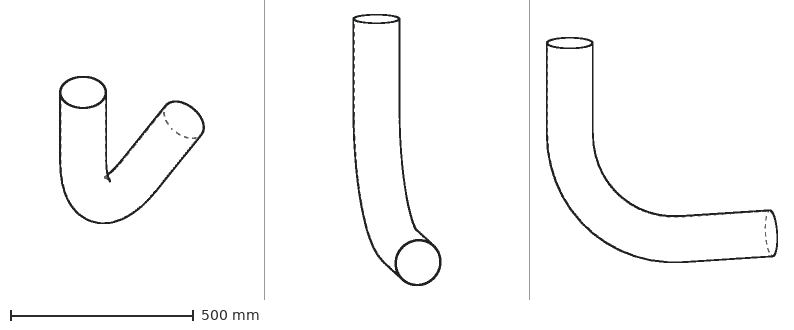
import cadquery as cq
import math

outer_diameter = 127.0
inner_diameter = 122.5

overall_length = 635.0
leg_length = 254.0
bend_radius = overall_length - leg_length - outer_diameter / 2

arc_middle_y = bend_radius * (1 - math.cos(math.pi / 4))
arc_middle_z = -bend_radius * math.sin(math.pi / 4)

centreline = (
    cq.Workplane("YZ")
    .moveTo(0, leg_length)
    .lineTo(0, 0)
    .threePointArc((arc_middle_y, arc_middle_z), (bend_radius, -bend_radius))
    .lineTo(bend_radius + leg_length, -bend_radius)
)

result = (
    cq.Workplane("XY", origin=(0, 0, leg_length))
    .circle(outer_diameter / 2)
    .circle(inner_diameter / 2)
    .sweep(centreline)
)